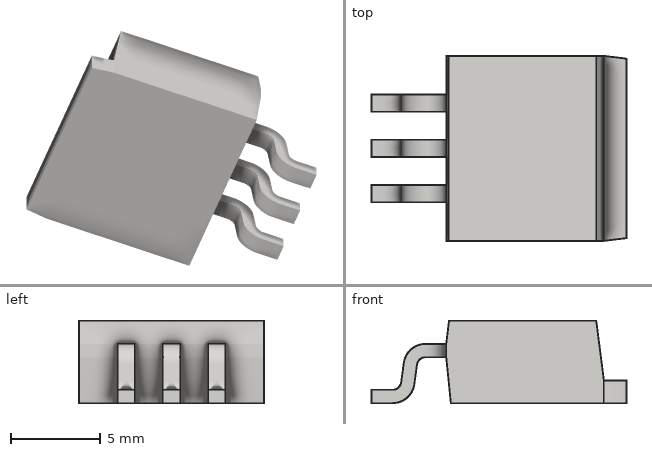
import cadquery as cq
import math

length = 14.35
width = 10.4
height = 4.65

housing_front = 4.2
housing_back = 13.07
top_front_inset = 0.16
bottom_front_inset = 0.26
top_back_inset = 0.43

tab_thickness = 1.29
tab_end_inset = 0.16

lead_count = 3
lead_pitch = 2.54
lead_width = 0.98
lead_thickness = 0.76
lead_top = 3.35
inner_radius = 0.49
outer_radius = inner_radius + lead_thickness
foot_length = 1.19
shoulder_start = 3.05


def make_housing():
    """Moulded block with sloped front and back faces and a flat band where the leads enter."""
    return (
        cq.Workplane("XZ")
        .moveTo(housing_front + bottom_front_inset, 0)
        .lineTo(housing_back, 0)
        .lineTo(housing_back, tab_thickness)
        .lineTo(housing_back - top_back_inset, height)
        .lineTo(housing_front + top_front_inset, height)
        .lineTo(housing_front, lead_top)
        .lineTo(housing_front, lead_top - lead_thickness)
        .close()
        .extrude(width / 2, both=True)
    )


def make_tab():
    """Flat tab behind the housing, narrowing toward its free end."""
    half_width = width / 2
    end_half_width = half_width - tab_end_inset
    return (
        cq.Workplane("XY")
        .moveTo(housing_back, -half_width)
        .lineTo(length, -end_half_width)
        .lineTo(length, end_half_width)
        .lineTo(housing_back, half_width)
        .close()
        .extrude(tab_thickness)
    )


def polar_point(center, radius, angle):
    """Point on a circle, with the angle in radians."""
    return (center[0] + radius * math.cos(angle), center[1] + radius * math.sin(angle))


def make_lead(y_center):
    """Gull-wing lead: flat foot, two opposite bends joined by a steep leg, flat shoulder."""
    lower_center = (foot_length, outer_radius)
    upper_center = (shoulder_start, lead_top - outer_radius)

    run = upper_center[0] - lower_center[0]
    rise = upper_center[1] - lower_center[1]
    leg_angle = math.atan2(rise, run) + math.asin((inner_radius + outer_radius) / math.hypot(run, rise))

    lower_end = leg_angle - math.pi / 2
    lower_middle = (lower_end - math.pi / 2) / 2
    upper_end = lower_end + math.pi
    upper_middle = lower_middle + math.pi

    return (
        cq.Workplane("XZ", origin=(0, y_center, 0))
        .moveTo(0, 0)
        .lineTo(foot_length, 0)
        .threePointArc(
            polar_point(lower_center, outer_radius, lower_middle),
            polar_point(lower_center, outer_radius, lower_end),
        )
        .lineTo(*polar_point(upper_center, inner_radius, upper_end))
        .threePointArc(
            polar_point(upper_center, inner_radius, upper_middle),
            (shoulder_start, lead_top - lead_thickness),
        )
        .lineTo(housing_front, lead_top - lead_thickness)
        .lineTo(housing_front, lead_top)
        .lineTo(shoulder_start, lead_top)
        .threePointArc(
            polar_point(upper_center, outer_radius, upper_middle),
            polar_point(upper_center, outer_radius, upper_end),
        )
        .lineTo(*polar_point(lower_center, inner_radius, lower_end))
        .threePointArc(
            polar_point(lower_center, inner_radius, lower_middle),
            (foot_length, lead_thickness),
        )
        .lineTo(0, lead_thickness)
        .close()
        .extrude(lead_width / 2, both=True)
    )


housing = make_housing()
tab = make_tab()

leads = []
for index in range(lead_count):
    y_center = (index - (lead_count - 1) / 2) * lead_pitch
    leads.append(make_lead(y_center).val())

result = cq.Compound.makeCompound([housing.val(), tab.val(), *leads])